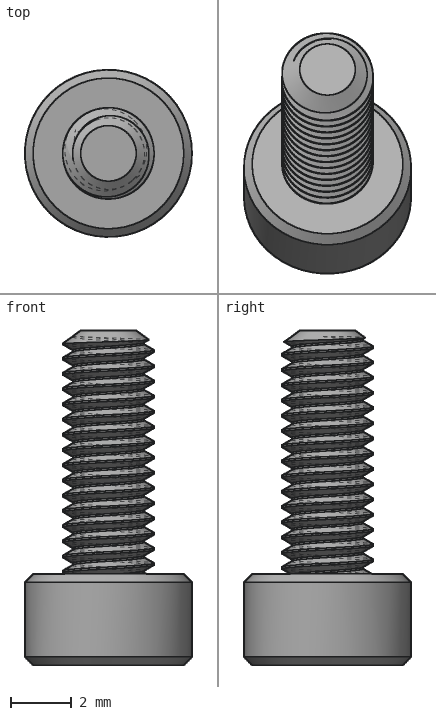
import cadquery as cq
import math

total_height = 11.0
head_diameter = 5.5
head_height = 3.0
head_chamfer = 0.28

thread_diameter = 3.0
thread_radius = thread_diameter / 2
pitch = total_height / 22
flank_half_angle = math.radians(30)
crest_width = pitch / 8
root_width = pitch / 8
flank_height = (pitch - crest_width - root_width) / 2
thread_depth = flank_height / math.tan(flank_half_angle)
root_radius = thread_radius - thread_depth

tip_radius = 0.91
tip_angle = math.radians(36)
tip_height = (thread_radius - tip_radius) * math.tan(tip_angle)

groove_depth_below_tip = 0.18
groove_turns_to_tip = 17
groove_turns_past_tip = 1.5
groove_turns = groove_turns_to_tip + groove_turns_past_tip
groove_start_angle = 180
groove_start_height = total_height - groove_depth_below_tip - groove_turns_to_tip * pitch
groove_overrun = 0.02

rod_length = total_height + 3 * pitch


def make_head():
    head = cq.Workplane("XY").circle(head_diameter / 2).extrude(head_height)
    return head.faces("<Z or >Z").edges().chamfer(head_chamfer)


def make_shank_envelope():
    return (
        cq.Workplane("XZ")
        .lineTo(thread_radius, 0)
        .lineTo(thread_radius, total_height - tip_height)
        .lineTo(tip_radius, total_height)
        .lineTo(0, total_height)
        .close()
        .revolve(360, (0, 0, 0), (0, 1, 0))
    )


def make_thread_groove():
    """Helical cutter with a trapezoidal section, reaching just outside the thread."""
    outer_radius = thread_radius + groove_overrun
    outer_half_width = root_width / 2 + (outer_radius - root_radius) * math.tan(flank_half_angle)
    helix = cq.Wire.makeHelix(pitch, groove_turns * pitch, root_radius)
    groove = (
        cq.Workplane("XZ")
        .moveTo(root_radius, -root_width / 2)
        .lineTo(outer_radius, -outer_half_width)
        .lineTo(outer_radius, outer_half_width)
        .lineTo(root_radius, root_width / 2)
        .close()
        .sweep(cq.Workplane(helix), isFrenet=True)
    )
    return groove.rotate((0, 0, 0), (0, 0, 1), groove_start_angle).translate((0, 0, groove_start_height))


threaded_rod = cq.Workplane("XY").circle(thread_radius).extrude(rod_length).cut(make_thread_groove())
threaded_shank = make_shank_envelope().intersect(threaded_rod)
result = make_head().union(threaded_shank)